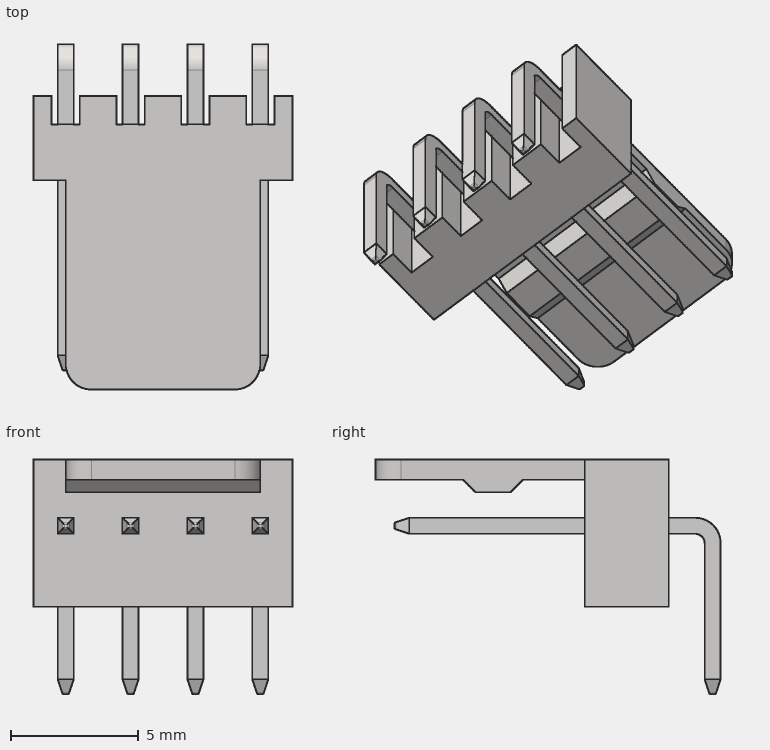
import cadquery as cq


pin_count = 4
block_width = 10.15
block_depth = 3.3
block_height = 5.77
pitch = block_width / pin_count
slot_width = 1.1
slot_depth = 1.11

tab_length = 8.19
tab_width = (pin_count - 1) * pitch
tab_thickness = 0.8
tab_corner_radius = 1.0

ridge_height = 0.49
ridge_crest = 1.38
ridge_from_tab_end = 4.61

pin_size = 0.64
pin_axis_below_top = 2.6
pin_axis_z = block_height - pin_axis_below_top
pin_front_reach = 7.45
pin_rear_reach = 2.03
pin_tail_drop = 3.42
bend_outer_radius = 1.0
bend_inner_radius = bend_outer_radius - pin_size

tip_length = 0.6
tip_end_size = 0.25
tip_end_radius = 0.1

pin_positions = [(i - (pin_count - 1) / 2) * pitch for i in range(pin_count)]
pin_rear_y = block_depth + pin_rear_reach


def make_block():
    """Plain block with its front face at Y = 0 and its underside at Z = 0."""
    return cq.Workplane("XY").box(block_width, block_depth, block_height, centered=(True, False, False))


def make_tab():
    """Flat tab flush with the top of the block, rounded at its two front corners."""
    return (
        cq.Workplane("XY", origin=(0, -tab_length, block_height - tab_thickness))
        .box(tab_width, tab_length, tab_thickness, centered=(True, False, False))
        .edges("|Z and <Y")
        .fillet(tab_corner_radius)
    )


def make_ridge():
    """Trapezoidal ridge across the full width of the tab's underside."""
    base_z = block_height - tab_thickness
    middle_y = ridge_from_tab_end - tab_length
    half_crest = ridge_crest / 2
    half_base = half_crest + ridge_height
    return (
        cq.Workplane("YZ", origin=(0, middle_y, base_z))
        .polyline([
            (-half_base, 0),
            (-half_crest, -ridge_height),
            (half_crest, -ridge_height),
            (half_base, 0),
        ])
        .close()
        .extrude(tab_width / 2, both=True)
    )


def make_rear_slots():
    """One slot behind each pin, open at the back and through the full height of the block."""
    return (
        cq.Workplane("XY")
        .pushPoints([(x, block_depth - slot_depth / 2) for x in pin_positions])
        .rect(slot_width, slot_depth)
        .extrude(block_height)
    )


def make_pin_holes():
    """Square holes that fit the pins, through the depth of the block."""
    return (
        cq.Workplane("XZ", origin=(0, 0, pin_axis_z))
        .pushPoints([(x, 0) for x in pin_positions])
        .rect(pin_size, pin_size)
        .extrude(-block_depth)
    )


def make_housing():
    """Block, tab and ridge in one body, cut by the rear slots and the pin holes."""
    body = make_block().union(make_tab()).union(make_ridge())
    return body.cut(make_rear_slots()).cut(make_pin_holes())


def make_pin_shaft():
    """Square wire of constant thickness, bent down behind the block, without its tips."""
    half = pin_size / 2
    top_z = pin_axis_z + half
    bottom_z = pin_axis_z - half
    front_y = tip_length - pin_front_reach
    tail_z = tip_length - pin_tail_drop
    bend_start_y = pin_rear_y - bend_outer_radius
    bend_end_z = top_z - bend_outer_radius
    return (
        cq.Workplane("YZ")
        .moveTo(front_y, top_z)
        .lineTo(bend_start_y, top_z)
        .radiusArc((pin_rear_y, bend_end_z), bend_outer_radius)
        .lineTo(pin_rear_y, tail_z)
        .lineTo(pin_rear_y - pin_size, tail_z)
        .lineTo(pin_rear_y - pin_size, bend_end_z)
        .radiusArc((bend_start_y, bottom_z), -bend_inner_radius)
        .lineTo(front_y, bottom_z)
        .close()
        .extrude(half, both=True)
    )


def make_tip(base):
    """Square taper with a rounded end, grown along the normal of the base plane."""
    taper = (
        cq.Workplane(base)
        .rect(pin_size, pin_size)
        .workplane(offset=tip_length)
        .rect(tip_end_size, tip_end_size)
        .loft(ruled=True)
    )
    end_face = taper.faces(cq.selectors.DirectionMinMaxSelector(base.zDir))
    return end_face.edges().fillet(tip_end_radius)


def make_pin(x):
    """Complete right-angle pin centred on x."""
    front_base = cq.Plane(
        origin=(0, tip_length - pin_front_reach, pin_axis_z), xDir=(1, 0, 0), normal=(0, -1, 0)
    )
    tail_base = cq.Plane(
        origin=(0, pin_rear_y - pin_size / 2, tip_length - pin_tail_drop), xDir=(1, 0, 0), normal=(0, 0, -1)
    )
    pin = make_pin_shaft().union(make_tip(front_base)).union(make_tip(tail_base))
    return pin.translate((x, 0, 0))


housing = make_housing()
pins = [make_pin(x) for x in pin_positions]

result = cq.Compound.makeCompound([housing.val(), *[pin.val() for pin in pins]])